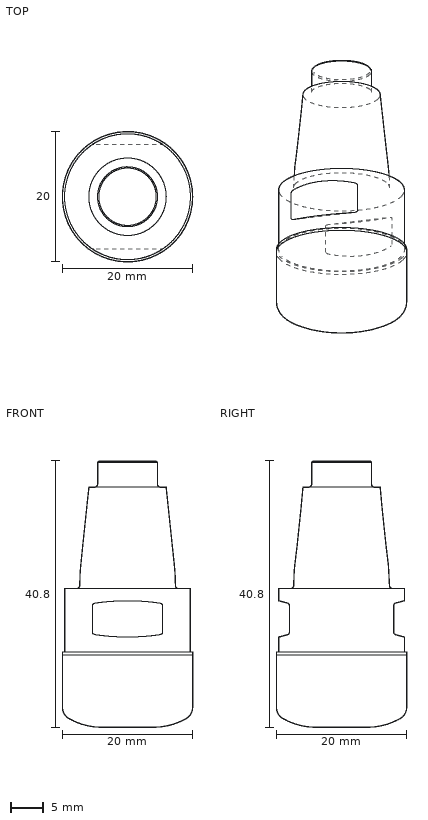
import cadquery as cq
import math

total_height = 40.8
joint_z = 11.1
flange_thickness = 0.45
barrel_top_z = 21.3
shoulder_z = 36.8

cap_radius = 10.0
base_flat_radius = 4.0
base_arc_radius = 10.0
cap_corner_radius = 2.0

barrel_radius = 19.3 / 2
neck_radius = 7.36
neck_fillet_radius = 0.4
neck_blend_radius = 30.0
taper_angle = math.radians(6)
tip_radius = 9.2 / 2
tip_root_fillet_radius = 0.5
tip_edge_chamfer = 0.2

flat_distance = 8.0
flat_center_z = 16.62
slot_mouth_height = 5.55
slot_wall_angle = math.radians(15)
slot_fillet_radius = 0.4


def arc_point(center, radius, angle):
    """Point on a circle in the radius-height plane."""
    return (center[0] + radius * math.cos(angle), center[1] + radius * math.sin(angle))


def make_cap():
    """Solid cap with a rounded base, turned about Z."""
    corner_offset = cap_radius - cap_corner_radius - base_flat_radius
    center_distance = base_arc_radius - cap_corner_radius
    corner_rise = math.sqrt(center_distance**2 - corner_offset**2)
    base_center = (base_flat_radius, base_arc_radius)
    corner_center = (cap_radius - cap_corner_radius, base_arc_radius - corner_rise)

    straight_down = -math.pi / 2
    tangent_angle = -math.atan2(corner_rise, corner_offset)
    base_middle = arc_point(base_center, base_arc_radius, (straight_down + tangent_angle) / 2)
    tangent_point = arc_point(base_center, base_arc_radius, tangent_angle)
    corner_middle = arc_point(corner_center, cap_corner_radius, tangent_angle / 2)

    return (
        cq.Workplane("XZ")
        .lineTo(base_flat_radius, 0)
        .threePointArc(base_middle, tangent_point)
        .threePointArc(corner_middle, (cap_radius, corner_center[1]))
        .lineTo(cap_radius, joint_z)
        .lineTo(0, joint_z)
        .close()
        .revolve(360, (0, 0, 0), (0, 1, 0))
    )


def turn_stem():
    """Flange, barrel, tapered neck and tip, turned about Z."""
    flange_top_z = joint_z + flange_thickness
    blend_center = (neck_radius - neck_blend_radius, barrel_top_z + neck_fillet_radius)
    blend_middle = arc_point(blend_center, neck_blend_radius, taper_angle / 2)
    blend_end = arc_point(blend_center, neck_blend_radius, taper_angle)
    shoulder_radius = blend_end[0] - (shoulder_z - blend_end[1]) * math.tan(taper_angle)

    neck_fillet_center = (neck_radius + neck_fillet_radius, barrel_top_z + neck_fillet_radius)
    root_center = (tip_radius + tip_root_fillet_radius, shoulder_z + tip_root_fillet_radius)
    inner_diagonal = math.radians(225)

    return (
        cq.Workplane("XZ")
        .moveTo(0, joint_z)
        .lineTo(cap_radius, joint_z)
        .lineTo(cap_radius, flange_top_z)
        .lineTo(barrel_radius, flange_top_z)
        .lineTo(barrel_radius, barrel_top_z)
        .lineTo(neck_fillet_center[0], barrel_top_z)
        .threePointArc(
            arc_point(neck_fillet_center, neck_fillet_radius, inner_diagonal),
            (neck_radius, neck_fillet_center[1]),
        )
        .threePointArc(blend_middle, blend_end)
        .lineTo(shoulder_radius, shoulder_z)
        .lineTo(root_center[0], shoulder_z)
        .threePointArc(
            arc_point(root_center, tip_root_fillet_radius, inner_diagonal),
            (tip_radius, root_center[1]),
        )
        .lineTo(tip_radius, total_height - tip_edge_chamfer)
        .lineTo(tip_radius - tip_edge_chamfer, total_height)
        .lineTo(0, total_height)
        .close()
        .revolve(360, (0, 0, 0), (0, 1, 0))
    )


def make_flat_cutter():
    """Slot with flared walls and rounded floor corners, for the flat on the +Y side."""
    clearance = 1.0
    flare = math.tan(slot_wall_angle)
    outer_y = barrel_radius + clearance
    floor_half_height = slot_mouth_height / 2 - (barrel_radius - flat_distance) * flare
    outer_half_height = slot_mouth_height / 2 + clearance * flare

    return (
        cq.Workplane("YZ")
        .polyline([
            (flat_distance, flat_center_z - floor_half_height),
            (outer_y, flat_center_z - outer_half_height),
            (outer_y, flat_center_z + outer_half_height),
            (flat_distance, flat_center_z + floor_half_height),
        ])
        .close()
        .extrude(barrel_radius, both=True)
        .edges("|X and <Y")
        .fillet(slot_fillet_radius)
    )


def make_stem():
    """Turned stem with two opposite wrench flats."""
    stem = turn_stem()
    cutter = make_flat_cutter()
    for turn in (0, 180):
        stem = stem.cut(cutter.rotate((0, 0, 0), (0, 0, 1), turn))
    return stem


cap = make_cap()
stem = make_stem()

result = cq.Compound.makeCompound([cap.val(), stem.val()])